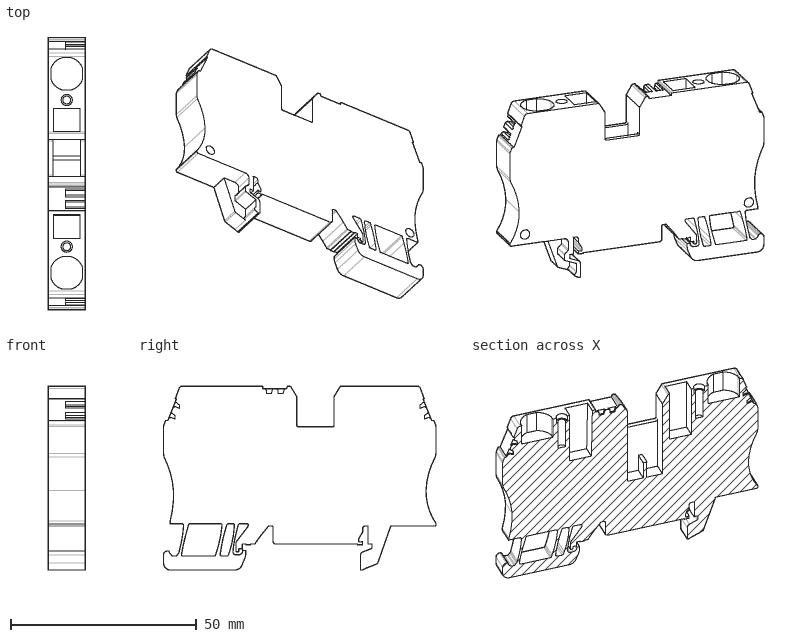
import math

import cadquery as cq


thickness = 10.0
length = 73.34
height = 49.56
end_y = length / 2
mid_x = thickness / 2

valley_floor_z = 38.6
shoulder_z = 40.3
shoulder_top_z = 46.05
marker_floor_z = height - 0.7
latch_side_base_z = 11.85
foot_side_base_z = 12.5
rail_face_z = 7.0
foot_window_floor_z = 3.85
foot_lip_z = 5.2
rail_pad_height = 0.2
base_corner_radius = 0.4
latch_y = 18.3

top_end_y = 32.25
top_end_radius = 1.0
brow_y = 33.5
brow_z = 46.15
shoulder_top_y = 33.2
shoulder_y = 35.5
shoulder_edge_y = 36.1
shoulder_chamfer = 1.2
shoulder_lead_in = 0.45
shoulder_lead_in_setback = 0.1
shoulder_edge_radius = 0.2

valley_high_y = 9.2
valley_low_y = -0.75
valley_chamfer_y = 1.75
valley_chamfer_z = 2.85
valley_lip_radius = 0.5
valley_floor_radius = 0.4

marker_high_y = -3.6
marker_low_y = -9.9
marker_ridge_slope = 0.3
marker_ridge_radius = 0.2
marker_edge_radius = 0.25

clearance = 1.0

grip_waist_z = 21.5
grip_waist_y = 34.0
grip_top_z = 31.4
grip_upper_z = 30.5
low_grip_foot_y = 34.9
low_grip_foot_z = 13.2

pocket_width = 7.3
pocket_depth = 15.0
divider_thickness = 1.1
divider_height = 5.0

high_tower_entries = (26.85, 19.8, 11.32, 17.5)
low_tower_entries = (-26.7, -19.65, -17.4, -11.2)
driver_hole_radius = 4.5
driver_hole_width = 8.56
driver_hole_length = 8.8
driver_hole_depth = 6.0
test_hole_radius = 1.05
test_hole_depth = 10.0
test_counterbore_radius = 1.5
test_counterbore_depth = 1.5
wire_entry_width = 7.0
wire_entry_depth = 15.0
wire_entry_flare = 0.25

groove_start_x = 4.65
groove_wall_run = 0.4
groove_depth = 1.35
groove_lip_depth = 0.45
marker_groove_starts_y = (-4.1, -7.25)
marker_groove_length = 2.15
marker_groove_lip = 0.45
shoulder_groove_starts_z = (45.35, 42.45)
shoulder_groove_length = 1.9
shoulder_groove_lip = 0.65
shoulder_groove_floor_drop = 0.35

pin_hole_radius = 1.33
pin_hole_depth = 5.0
pin_hole_y = 32.3
pin_hole_z = 14.7

latch_web_start_x = 5.0
latch_web_overlap = 0.5


def prism(corners, start_x=0.0, end_x=thickness):
    """Extrude a closed Y-Z outline along X; a corner is (y, z) or (y, z, rounding radius)."""
    profile = None
    count = len(corners)
    for index, corner in enumerate(corners):
        here = cq.Vector(corner[0], corner[1])
        radius = corner[2] if len(corner) > 2 else 0.0
        before = corners[index - 1]
        after = corners[(index + 1) % count]
        to_before = (cq.Vector(before[0], before[1]) - here).normalized()
        to_after = (cq.Vector(after[0], after[1]) - here).normalized()
        half_angle = to_before.getAngle(to_after) / 2
        setback = radius / math.tan(half_angle)
        arc_start = here + to_before * setback
        arc_end = here + to_after * setback
        if profile is None:
            profile = cq.Workplane("YZ", origin=(start_x, 0, 0)).moveTo(arc_start.x, arc_start.y)
        else:
            profile = profile.lineTo(arc_start.x, arc_start.y)
        if radius > 0:
            bisector = (to_before + to_after).normalized()
            arc_middle = here + bisector * (radius / math.sin(half_angle) - radius)
            profile = profile.threePointArc((arc_middle.x, arc_middle.y), (arc_end.x, arc_end.y))
    return profile.close().extrude(end_x - start_x)


def end_corners(side):
    """Corners of one end, from the top face down to the shoulder; side is +1 or -1 in Y."""
    return [
        (side * top_end_y, height, top_end_radius),
        (side * brow_y, brow_z),
        (side * shoulder_top_y, shoulder_top_z),
        (side * shoulder_y, shoulder_z),
        (side * shoulder_edge_y, shoulder_z, shoulder_edge_radius),
        (side * (end_y - shoulder_lead_in_setback), shoulder_z - shoulder_chamfer),
        (side * end_y, shoulder_z - shoulder_chamfer - shoulder_lead_in),
    ]


def valley_and_marker_corners():
    """Top edge between the towers, running towards -Y."""
    return [
        (valley_high_y + valley_chamfer_y, height, valley_lip_radius),
        (valley_high_y, height - valley_chamfer_z),
        (valley_high_y, valley_floor_z, valley_floor_radius),
        (valley_low_y, valley_floor_z, valley_floor_radius),
        (valley_low_y, height - valley_chamfer_z),
        (valley_low_y - valley_chamfer_y, height, valley_lip_radius),
        (marker_high_y + marker_ridge_slope, height, marker_ridge_radius),
        (marker_high_y, marker_floor_z),
        (marker_low_y, marker_floor_z),
        (marker_low_y, height, marker_edge_radius),
    ]


def foot_corners():
    """Fixed rail foot with its spring arm, from the -Y end inwards to the rail hook."""
    return [
        (-low_grip_foot_y, foot_side_base_z),
        (-31.25, foot_side_base_z, 0.4),
        (-31.55, 8.4, 34.0),
        (-32.6, 4.6, 1.0),
        (-33.2, foot_window_floor_z, 0.3),
        (-34.3, foot_window_floor_z, 0.3),
        (-35.0, 4.7, 0.3),
        (-35.2, foot_lip_z, 0.3),
        (-end_y, foot_lip_z, 1.1),
        (-end_y, 0.0, 2.0),
        (-16.1, 0.0, 2.2),
        (-14.5, 3.8, 3.0),
        (-14.5, 5.3),
        (-15.35, 5.4),
        (-15.6, 4.2, 0.9),
        (-18.0, 4.2, 0.7),
        (-17.7, 7.5, 28.0),
        (-16.45, foot_side_base_z, 0.5),
        (-13.8, foot_side_base_z, 0.3),
        (-14.0, 11.7, 0.3),
        (-17.15, 7.6, 0.5),
        (-17.15, 4.95, 0.2),
        (-16.4, 4.95, 0.2),
        (-16.4, 5.75),
        (-15.4, 5.75),
        (-15.4, rail_face_z),
    ]


def underside_corners():
    """Rail face and the notches on both sides of it, running towards +Y."""
    return [
        (-14.4, rail_face_z),
        (-14.4, rail_face_z - rail_pad_height),
        (-13.3, rail_face_z - rail_pad_height),
        (-13.3, rail_face_z),
        (-12.1, rail_face_z, 0.3),
        (-10.8, 8.9),
        (-8.4, latch_side_base_z, 0.4),
        (-7.2, latch_side_base_z, 0.3),
        (-7.2, rail_face_z, 0.8),
        (15.5, rail_face_z),
        (15.5, rail_face_z - rail_pad_height),
        (16.9, rail_face_z - rail_pad_height),
        (16.9, 7.7),
        (15.9, 7.6, 0.2),
        (15.85, 8.4, 0.2),
        (16.95, 10.3),
        (16.95, latch_side_base_z, 0.6),
        (latch_y, latch_side_base_z),
    ]


def latch_corners():
    """Rail latch at +Y, down its inner side and back up its outer side."""
    return [
        (latch_y, rail_face_z),
        (19.4, rail_face_z),
        (19.4, 5.9, 0.3),
        (16.3, 4.7, 1.0),
        (16.3, 0.05, 0.2),
        (16.8, 0.0),
        (18.2, 0.75, 0.3),
        (17.5, 1.8, 0.2),
        (17.5, 4.2),
        (20.95, 5.6, 0.2),
        (20.95, 7.3, 0.2),
        (19.8, 8.4, 0.5),
        (19.8, latch_side_base_z, 1.2),
    ]


def make_housing():
    corners = []
    corners += valley_and_marker_corners()
    corners += end_corners(-1)
    corners += [(-end_y, foot_side_base_z)]
    corners += foot_corners()
    corners += underside_corners()
    corners += latch_corners()
    corners += [(end_y, latch_side_base_z, base_corner_radius)]
    corners += reversed(end_corners(1))
    return prism(corners)


def make_latch_web():
    """Web behind the latch, set back from the -X face."""
    corners = [
        (25.0, latch_side_base_z + latch_web_overlap),
        (24.5, latch_side_base_z, 0.5),
        (20.95, 1.75, 0.5),
        (17.4, 0.35),
        (17.0, 4.5),
        (20.4, 6.0),
        (18.8, 9.0),
        (18.8, latch_side_base_z + latch_web_overlap),
    ]
    return prism(corners, latch_web_start_x)


def make_grip(side, upper_y, upper_middle, lower_middle, lower_end):
    """Cutter for the hollow in one end: two arcs that meet at the waist."""
    outside_y = end_y + clearance
    lower_y, lower_z = lower_end
    hollow = (
        cq.Workplane("YZ")
        .moveTo(outside_y, grip_top_z)
        .lineTo(end_y, grip_top_z)
        .lineTo(upper_y, grip_upper_z)
        .threePointArc(upper_middle, (grip_waist_y, grip_waist_z))
        .threePointArc(lower_middle, (lower_y, lower_z))
        .lineTo(outside_y, lower_z)
        .close()
        .extrude(thickness)
    )
    return hollow if side > 0 else hollow.mirror("XZ")


def make_grips():
    high_grip = make_grip(1, 36.5, (34.7, 26.0), (34.6, 17.0), (36.6, 12.7))
    low_grip = make_grip(-1, 36.55, (34.7, 25.6), (34.15, 17.2), (low_grip_foot_y, low_grip_foot_z))
    low_grip_end = prism([
        (-low_grip_foot_y, low_grip_foot_z),
        (-low_grip_foot_y, foot_side_base_z - clearance),
        (-end_y - clearance, foot_side_base_z - clearance),
        (-end_y - clearance, low_grip_foot_z),
    ])
    return high_grip.union(low_grip).union(low_grip_end)


def make_foot_windows():
    slot = prism([
        (-17.6, foot_side_base_z, 0.4),
        (-19.5, foot_side_base_z, 0.4),
        (-20.6, 9.0, 40.0),
        (-21.45, foot_window_floor_z, 0.4),
        (-19.3, foot_window_floor_z, 0.4),
        (-17.85, 8.2, 27.0),
    ])
    window = prism([
        (-20.9, foot_side_base_z, 0.3),
        (-29.8, foot_side_base_z, 0.3),
        (-31.2, 7.5, 60.0),
        (-31.85, foot_window_floor_z, 0.3),
        (-22.75, foot_window_floor_z, 0.3),
        (-21.3, 8.2, 33.0),
    ])
    return slot.union(window)


def make_valley_pocket():
    pocket_length = valley_high_y - valley_low_y
    pocket_y = (valley_high_y + valley_low_y) / 2
    pocket = (
        cq.Workplane("XY", origin=(mid_x, pocket_y, valley_floor_z + clearance))
        .rect(pocket_width, pocket_length)
        .extrude(-pocket_depth - clearance)
    )
    divider = (
        cq.Workplane("XY", origin=(mid_x, pocket_y, valley_floor_z - pocket_depth))
        .rect(pocket_width, divider_thickness)
        .extrude(divider_height)
    )
    return pocket.cut(divider)


def make_driver_hole(y):
    top = cq.Workplane("XY", origin=(mid_x, y, height))
    bore = top.circle(driver_hole_radius).extrude(-driver_hole_depth)
    flats = top.rect(driver_hole_width, driver_hole_length).extrude(-driver_hole_depth)
    return bore.intersect(flats)


def make_test_hole(y):
    top = cq.Workplane("XY", origin=(mid_x, y, height))
    counterbore = top.circle(test_counterbore_radius).extrude(-test_counterbore_depth)
    return top.circle(test_hole_radius).extrude(-test_hole_depth).union(counterbore)


def make_wire_entry(low_y, high_y, flare):
    """Rectangular wire entry whose +Y wall leans outwards by flare at the top."""
    bottom_z = height - wire_entry_depth
    side_x = mid_x - wire_entry_width / 2
    corners = [(low_y, bottom_z), (high_y, bottom_z), (high_y + flare, height), (low_y, height)]
    return prism(corners, side_x, side_x + wire_entry_width)


def make_tower_entries(entries, flare):
    driver_y, test_y, wire_low_y, wire_high_y = entries
    cutter = make_wire_entry(wire_low_y, wire_high_y, flare)
    return cutter.union(make_driver_hole(driver_y)).union(make_test_hole(test_y))


def make_groove(y, z, along, groove_length, lip, floor_drop):
    """Groove starting at (y, z) on a surface that falls along the unit direction given."""
    along_y, along_z = along
    inward_y = math.copysign(along_z, -y)
    inward_z = -abs(along_y)
    lip_start = groove_length - lip
    section = [
        (0.0, 0.0),
        (groove_wall_run, groove_depth),
        (lip_start, groove_depth + floor_drop),
        (lip_start, groove_lip_depth),
        (groove_length, 0.0),
    ]
    corners = [
        (y + run * along_y + depth * inward_y, z + run * along_z + depth * inward_z)
        for run, depth in section
    ]
    return prism(corners, groove_start_x)


def make_marker_grooves():
    cutter = cq.Workplane("YZ")
    for y in marker_groove_starts_y:
        groove = make_groove(y, marker_floor_z, (-1.0, 0.0), marker_groove_length, marker_groove_lip, 0.0)
        cutter = cutter.union(groove)
    return cutter


def make_shoulder_grooves():
    slope_y = shoulder_y - shoulder_top_y
    slope_z = shoulder_z - shoulder_top_z
    slope_length = math.hypot(slope_y, slope_z)
    cutter = cq.Workplane("YZ")
    for side in (1, -1):
        along = (side * slope_y / slope_length, slope_z / slope_length)
        for z in shoulder_groove_starts_z:
            y = side * (shoulder_top_y + (z - shoulder_top_z) * slope_y / slope_z)
            groove = make_groove(
                y, z, along, shoulder_groove_length, shoulder_groove_lip, shoulder_groove_floor_drop
            )
            cutter = cutter.union(groove)
    return cutter


def make_pin_holes():
    centres = [(-pin_hole_y, pin_hole_z), (pin_hole_y, pin_hole_z)]
    return cq.Workplane("YZ").pushPoints(centres).circle(pin_hole_radius).extrude(pin_hole_depth)


result = (
    make_housing()
    .union(make_latch_web())
    .cut(make_grips())
    .cut(make_foot_windows())
    .cut(make_valley_pocket())
    .cut(make_tower_entries(high_tower_entries, 0.0))
    .cut(make_tower_entries(low_tower_entries, wire_entry_flare))
    .cut(make_marker_grooves())
    .cut(make_shoulder_grooves())
    .cut(make_pin_holes())
)